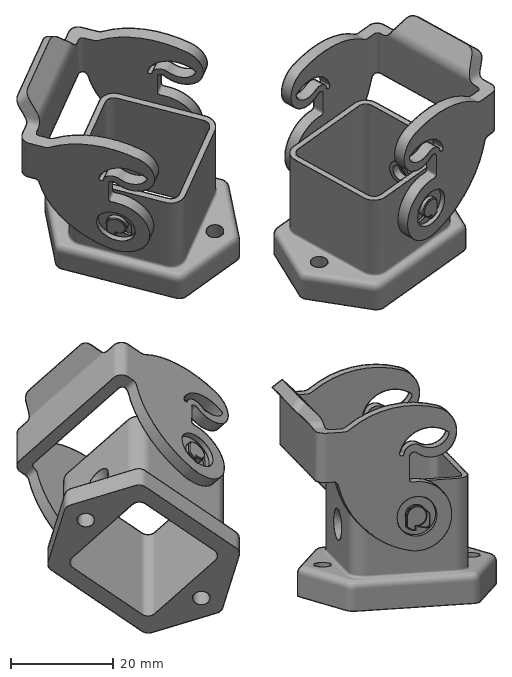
import cadquery as cq
import math

base_length = 40.0
base_width = 28.0
base_height = 6.0
base_corner_radius = 2.0
base_edge_radius = 1.5
base_corner_arc_x = 11.75
mounting_hole_spacing = 30.0
mounting_hole_diameter = 3.4

body_side = 23.9
body_top = 25.0
body_corner_radius = 3.0
body_wall = 1.2
body_foot_radius = (base_width - body_side) / 2 - base_edge_radius

screw_height = 14.0
screw_hole_diameter = 3.4
screw_head_diameter = 6.3
screw_countersink_angle = 90.0
screw_boss_diameter = 5.1
screw_boss_length = 2.0

lever_width = 32.0
lever_thickness = 2.5
lever_back_x = -20.0
band_bottom = 27.0
band_top = 37.0
band_outer_radius = 2.0
band_inner_radius = 0.9
arm_inner_y = lever_width / 2 - lever_thickness
arm_start_x = lever_back_x + band_outer_radius
band_end_x = lever_back_x + lever_thickness + band_inner_radius

pivot = (0.0, 19.0)
pivot_radius = 7.0
belly_radius = 19.0
belly_lean = 12.5
crown = (-1.5, 21.5)
crown_radius = 20.0
crown_fillet = 2.0
nose_x = 3.0
nose_radius = 5.0
band_fillet = 1.0
notch_x = -1.5
notch_top_radius = 0.9
notch_bottom_radius = 0.6

window_upper = (2.7, 30.4)
window_upper_radius = 6.4
window_lower = (2.8, 36.6)
window_lower_radius = 3.9
throat_x = -0.45
throat_radius = 2.2
window_tail_radius = 0.45
window_tip_radius = 0.3

tab_angle = 45.0
tab_bend_inner_radius = 0.5
tab_length = 4.25
tab_root_half_width = 11.0
tab_side_angle = 30.0
tab_corner_radius = 2.0

hub_diameter = 5.0
hub_fillet = 0.6
recess_diameter = 8.0
recess_depth = 1.1
pin_radius = 2.1
pin_chamfer = 0.2
pin_height = 1.0
key_reach = 3.0
key_left = -2.05
key_right = -0.15

keyway_depth = 0.5
keyway_shoulder_start = (1.9, 0.8)
keyway_shoulder_middle = (2.55, 0.45)
keyway_shoulder_end = (2.9, -0.3)
keyway_lower_corner = (2.9, -2.95)
keyway_lower_end = (0.5, -2.45)
keyway_corner_radius = 0.7


def along(start, end, distance):
    """Point at the given distance from start, in the direction of end."""
    length = math.dist(start, end)
    return tuple(a + (b - a) * distance / length for a, b in zip(start, end))


def circles_meet(first, first_radius, second, second_radius):
    """Meeting point of two circles, on the left going from first to second."""
    gap = math.dist(first, second)
    run = (gap**2 + first_radius**2 - second_radius**2) / (2 * gap)
    rise = math.sqrt(first_radius**2 - run**2)
    direction = ((second[0] - first[0]) / gap, (second[1] - first[1]) / gap)
    return (
        first[0] + run * direction[0] - rise * direction[1],
        first[1] + run * direction[1] + rise * direction[0],
    )


def arc_middle(center, start, end):
    """Middle of the shorter arc about center from start to end."""
    chord_middle = ((start[0] + end[0]) / 2, (start[1] + end[1]) / 2)
    return along(center, chord_middle, math.dist(center, start))


def arc_about(path, center, start, end):
    """Extend path from start to end by the shorter arc about center."""
    return path.threePointArc(arc_middle(center, start, end), end)


def below(center, distance):
    return (center[0], center[1] - distance)


def make_shell():
    """Flange and body joined with a small fillet, then bored through."""
    arc_y = base_width / 2 - base_corner_radius
    tip_x = base_length / 2 - base_corner_radius
    corner_centers = [
        (tip_x, 0),
        (base_corner_arc_x, arc_y),
        (-base_corner_arc_x, arc_y),
        (-tip_x, 0),
        (-base_corner_arc_x, -arc_y),
        (base_corner_arc_x, -arc_y),
    ]
    base = (
        cq.Workplane("XY")
        .polyline(corner_centers)
        .close()
        .offset2D(base_corner_radius, "arc")
        .extrude(base_height)
        .faces(">Z")
        .edges()
        .fillet(base_edge_radius)
    )
    body = (
        cq.Workplane("XY")
        .rect(body_side, body_side)
        .extrude(body_top)
        .edges("|Z")
        .fillet(body_corner_radius)
    )
    bore_side = body_side - 2 * body_wall
    bore = (
        cq.Workplane("XY")
        .rect(bore_side, bore_side)
        .extrude(body_top)
        .edges("|Z")
        .fillet(body_corner_radius - body_wall)
    )
    mounting_holes = (
        cq.Workplane("XY")
        .pushPoints([(-mounting_hole_spacing / 2, 0), (mounting_hole_spacing / 2, 0)])
        .circle(mounting_hole_diameter / 2)
        .extrude(base_height)
    )
    return base.union(body).union(make_foot_fillet()).cut(bore).cut(mounting_holes)


def make_foot_fillet():
    """Concave fillet ring around the foot of the body."""
    half = body_side / 2
    straight = half - body_corner_radius

    def profile():
        return (
            cq.Workplane("XZ")
            .moveTo(half, base_height)
            .lineTo(half + body_foot_radius, base_height)
            .radiusArc((half, base_height + body_foot_radius), body_foot_radius)
            .close()
        )

    side = profile().extrude(straight, both=True)
    corner = profile().revolve(-90, (straight, 0), (straight, 1)).translate((0, straight, 0))
    quarter = side.union(corner)
    ring = quarter
    for turn in (90, 180, 270):
        ring = ring.union(quarter.rotate((0, 0, 0), (0, 0, 1), turn))
    return ring


def add_screw_hole(shell):
    """Boss inside the -X wall and the countersunk hole through both."""
    outer_face = cq.Workplane("YZ", origin=(-body_side / 2, 0, screw_height))
    length = body_wall + screw_boss_length
    boss = (
        outer_face.workplane(offset=body_wall / 2)
        .circle(screw_boss_diameter / 2)
        .extrude(length - body_wall / 2)
    )
    hole = outer_face.circle(screw_hole_diameter / 2).extrude(length)
    head_depth = (screw_head_diameter - screw_hole_diameter) / 2 / math.tan(
        math.radians(screw_countersink_angle / 2)
    )
    head = (
        outer_face.circle(screw_head_diameter / 2)
        .workplane(offset=head_depth)
        .circle(screw_hole_diameter / 2)
        .loft()
    )
    return shell.union(boss).cut(hole).cut(head)


def make_band():
    """Flat-backed band with rounded vertical corners, open towards +X."""
    outer = (
        cq.Workplane("XY", origin=(0, 0, band_bottom))
        .moveTo(lever_back_x, -lever_width / 2)
        .lineTo(band_end_x, -lever_width / 2)
        .lineTo(band_end_x, lever_width / 2)
        .lineTo(lever_back_x, lever_width / 2)
        .close()
        .extrude(band_top - band_bottom)
        .edges("|Z and <X")
        .fillet(band_outer_radius)
    )
    inner_x = lever_back_x + lever_thickness
    inner = (
        cq.Workplane("XY", origin=(0, 0, band_bottom))
        .moveTo(inner_x, -arm_inner_y)
        .lineTo(band_end_x + lever_thickness, -arm_inner_y)
        .lineTo(band_end_x + lever_thickness, arm_inner_y)
        .lineTo(inner_x, arm_inner_y)
        .close()
        .extrude(band_top - band_bottom)
        .edges("|Z and <X")
        .fillet(band_inner_radius)
    )
    return outer.cut(inner)


def make_tab():
    """Bent strip, trimmed to a tapering outline with flared root."""
    bend_outer_radius = tab_bend_inner_radius + lever_thickness
    bend = (lever_back_x - tab_bend_inner_radius, band_top)
    lean = math.radians(tab_angle)

    def bent(radius, angle, distance=0.0):
        return (
            bend[0] + radius * math.cos(angle) - distance * math.sin(angle),
            bend[1] + radius * math.sin(angle) + distance * math.cos(angle),
        )

    strip = (
        cq.Workplane("XZ")
        .moveTo(*bent(tab_bend_inner_radius, 0))
        .lineTo(*bent(bend_outer_radius, 0))
        .threePointArc(bent(bend_outer_radius, lean / 2), bent(bend_outer_radius, lean))
        .lineTo(*bent(bend_outer_radius, lean, tab_length))
        .lineTo(*bent(tab_bend_inner_radius, lean, tab_length))
        .lineTo(*bent(tab_bend_inner_radius, lean))
        .threePointArc(
            bent(tab_bend_inner_radius, lean / 2), bent(tab_bend_inner_radius, 0)
        )
        .close()
        .extrude(lever_width / 2, both=True)
    )
    side_lean = math.radians(tab_side_angle)
    flare_angle = math.pi / 2 - side_lean
    flare_run = tab_corner_radius * math.tan(flare_angle / 2)
    flare_start_y = tab_root_half_width + flare_run
    flare_end_y = tab_root_half_width - flare_run * math.sin(side_lean)
    flare_end_z = band_top + flare_run * math.cos(side_lean)
    flare_center = (flare_start_y, band_top + tab_corner_radius)
    flare_middle = arc_middle(
        flare_center, (flare_start_y, band_top), (flare_end_y, flare_end_z)
    )
    tip_z = bent(bend_outer_radius, lean, tab_length)[1]
    tip_y = tab_root_half_width - (tip_z - band_top) * math.tan(side_lean)
    outline = (
        cq.Workplane("YZ")
        .moveTo(-flare_start_y, band_top)
        .threePointArc((-flare_middle[0], flare_middle[1]), (-flare_end_y, flare_end_z))
        .lineTo(-tip_y, tip_z)
        .lineTo(tip_y, tip_z)
        .lineTo(flare_end_y, flare_end_z)
        .threePointArc(flare_middle, (flare_start_y, band_top))
        .close()
        .extrude(2 * lever_back_x)
    )
    tab = strip.intersect(outline)
    tip_face_sides = tab.faces(cq.selectors.DirectionMinMaxSelector(cq.Vector(-1, 0, 1)))
    return tip_face_sides.edges("not |Y").fillet(tab_corner_radius)


def arm_outline(plane):
    """Closed outline of a side arm, starting at the lower band corner."""
    nose_reach = crown_radius - nose_radius
    nose = (nose_x, crown[1] + math.sqrt(nose_reach**2 - (nose_x - crown[0]) ** 2))
    tilt = math.radians(belly_lean)
    belly_offset = belly_radius - pivot_radius
    belly = (
        pivot[0] + belly_offset * math.sin(tilt),
        pivot[1] + belly_offset * math.cos(tilt),
    )

    band_fillet_z = band_bottom - band_fillet
    band_fillet_reach = belly_radius + band_fillet
    lower = (
        belly[0] - math.sqrt(band_fillet_reach**2 - (belly[1] - band_fillet_z) ** 2),
        band_fillet_z,
    )
    crown_fillet_z = band_top + crown_fillet
    crown_fillet_reach = crown_radius + crown_fillet
    upper = (
        crown[0] - math.sqrt(crown_fillet_reach**2 - (crown_fillet_z - crown[1]) ** 2),
        crown_fillet_z,
    )
    notch_bottom_x = notch_x + notch_bottom_radius
    notch_bottom_reach = pivot_radius + notch_bottom_radius
    notch_bottom = (
        notch_bottom_x,
        pivot[1] + math.sqrt(notch_bottom_reach**2 - (notch_bottom_x - pivot[0]) ** 2),
    )
    notch_top_x = notch_x + notch_top_radius
    notch_top_reach = nose_radius + notch_top_radius
    notch_top = (
        notch_top_x,
        nose[1] - math.sqrt(notch_top_reach**2 - (nose_x - notch_top_x) ** 2),
    )

    lower_start = (lower[0], band_bottom)
    lower_end = along(lower, belly, band_fillet)
    belly_end = along(belly, pivot, belly_radius)
    pivot_end = along(pivot, notch_bottom, pivot_radius)
    notch_start = (notch_x, notch_bottom[1])
    notch_end = (notch_x, notch_top[1])
    nose_start = along(nose, notch_top, nose_radius)
    nose_end = along(crown, nose, crown_radius)
    crown_end = along(crown, upper, crown_radius)
    upper_end = below(upper, crown_fillet)

    path = cq.Workplane(plane).moveTo(arm_start_x, band_bottom).lineTo(*lower_start)
    path = arc_about(path, lower, lower_start, lower_end)
    path = arc_about(path, belly, lower_end, belly_end)
    path = path.threePointArc((pivot[0] + pivot_radius, pivot[1]), pivot_end)
    path = arc_about(path, notch_bottom, pivot_end, notch_start)
    path = path.lineTo(*notch_end)
    path = arc_about(path, notch_top, notch_end, nose_start)
    path = path.threePointArc((nose[0] + nose_radius, nose[1]), nose_end)
    path = arc_about(path, crown, nose_end, crown_end)
    path = arc_about(path, upper, crown_end, upper_end)
    return path.lineTo(arm_start_x, band_top).close()


def window_outline(plane):
    """Comma-shaped window: a crescent with a narrow tail round the throat."""
    throat_reach = window_lower_radius + throat_radius
    throat = (
        throat_x,
        window_lower[1] - math.sqrt(throat_reach**2 - (window_lower[0] - throat_x) ** 2),
    )
    tail = circles_meet(
        window_upper,
        window_upper_radius - window_tail_radius,
        throat,
        throat_radius + window_tail_radius,
    )
    tip = circles_meet(
        window_lower,
        window_lower_radius - window_tip_radius,
        window_upper,
        window_upper_radius - window_tip_radius,
    )
    tail_outer = along(window_upper, tail, window_upper_radius)
    tail_inner = along(throat, tail, throat_radius)
    tip_upper = along(window_upper, tip, window_upper_radius)
    tip_lower = along(window_lower, tip, window_lower_radius)
    throat_end = along(throat, window_lower, throat_radius)

    path = cq.Workplane(plane).moveTo(*tail_outer)
    path = arc_about(path, window_upper, tail_outer, tip_upper)
    path = arc_about(path, tip, tip_upper, tip_lower)
    path = arc_about(path, window_lower, tip_lower, throat_end)
    path = arc_about(path, throat, throat_end, tail_inner)
    return path.threePointArc(below(tail, window_tail_radius), tail_outer).close()


def front_plane(y):
    """Plane at the given y, facing -Y, with local axes along X and Z."""
    return cq.Plane(origin=(0, y, 0), xDir=(1, 0, 0), normal=(0, -1, 0))


def keyway_corner_point(plane):
    """Middle of the keyway's lower corner edge."""
    return (
        pivot[0] + keyway_lower_corner[0],
        plane.origin.y + keyway_depth / 2,
        pivot[1] + keyway_lower_corner[1],
    )


def make_keyway(plane):
    """Shallow pocket beside the pin, cut back into the recess floor."""
    return (
        cq.Workplane(plane)
        .center(*pivot)
        .lineTo(*keyway_shoulder_start)
        .threePointArc(keyway_shoulder_middle, keyway_shoulder_end)
        .lineTo(*keyway_lower_corner)
        .lineTo(*keyway_lower_end)
        .close()
        .extrude(-keyway_depth)
        .edges(cq.selectors.NearestToPointSelector(keyway_corner_point(plane)))
        .fillet(keyway_corner_radius)
    )


def make_pin(floor_plane, web):
    """Round pin through the arm, its head carrying a downward bayonet key."""
    def key_end(x):
        return (x, -math.sqrt(key_reach**2 - x**2))

    head = cq.Workplane(floor_plane).center(*pivot).circle(pin_radius).extrude(pin_height)
    stem = cq.Workplane(floor_plane).center(*pivot).circle(pin_radius).extrude(-web)
    key = cq.Workplane(floor_plane).center(*pivot).moveTo(key_left, 0).lineTo(*key_end(key_left))
    key = arc_about(key, (0, 0), key_end(key_left), key_end(key_right))
    key = key.lineTo(key_right, 0).close().extrude(pin_height)
    return head.union(key).faces("<Y").edges().chamfer(pin_chamfer).union(stem)


def make_hub():
    """Round spacer between body and arm, flared where it leaves the body."""
    gap = arm_inner_y - body_side / 2
    hub_radius = hub_diameter / 2
    return (
        cq.Workplane("XY")
        .lineTo(hub_radius + hub_fillet, 0)
        .radiusArc((hub_radius, -hub_fillet), -hub_fillet)
        .lineTo(hub_radius, -gap)
        .lineTo(0, -gap)
        .close()
        .revolve(360, (0, 0), (0, 1))
        .translate((pivot[0], -body_side / 2, pivot[1]))
    )


def make_front_arm():
    """Arm on the -Y side with its window, recess, keyway, hub and bayonet pin."""
    outer_plane = front_plane(-lever_width / 2)
    floor_plane = front_plane(recess_depth - lever_width / 2)
    recess = cq.Workplane(outer_plane).center(*pivot).circle(recess_diameter / 2)
    arm = (
        arm_outline(outer_plane)
        .extrude(-lever_thickness)
        .cut(window_outline(outer_plane).extrude(-lever_thickness))
        .cut(recess.extrude(-recess_depth))
        .cut(make_keyway(floor_plane))
    )
    web = lever_thickness - recess_depth
    return arm.union(make_hub()).union(make_pin(floor_plane, web))


front_arm = make_front_arm()
back_arm = front_arm.mirror("XZ")
lever = make_band().union(make_tab()).union(front_arm).union(back_arm)
shell = add_screw_hole(make_shell())
result = shell.union(lever)